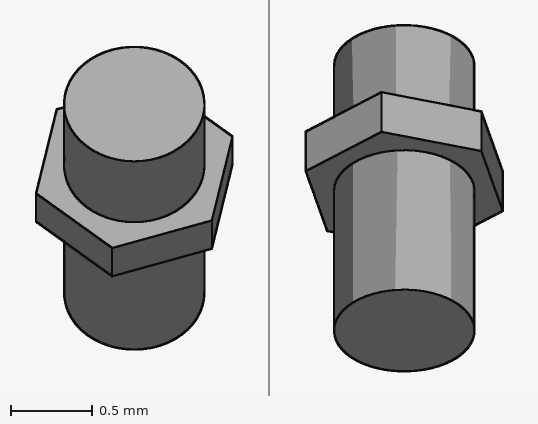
import cadquery as cq

total_height = 2
lower_height = 1.055
collar_height = 0.3
upper_height = total_height - lower_height - collar_height

barrel_diameter = 0.865

collar_corner_width = 1.27
collar_flat_width = 1.12
collar_flat_length = 0.625


def barrel(base_z, height):
    """Round barrel section on the Z axis."""
    return cq.Workplane("XY").workplane(offset=base_z).circle(barrel_diameter / 2).extrude(height)


def collar(base_z):
    """Six-sided collar with two corners on the X axis."""
    corner_x = collar_corner_width / 2
    flat_x = collar_flat_length / 2
    flat_y = collar_flat_width / 2
    corners = [
        (corner_x, 0),
        (flat_x, flat_y),
        (-flat_x, flat_y),
        (-corner_x, 0),
        (-flat_x, -flat_y),
        (flat_x, -flat_y),
    ]
    return cq.Workplane("XY").workplane(offset=base_z).polyline(corners).close().extrude(collar_height)


lower_barrel = barrel(0, lower_height)
upper_barrel = barrel(lower_height + collar_height, upper_height)
result = lower_barrel.union(collar(lower_height)).union(upper_barrel)